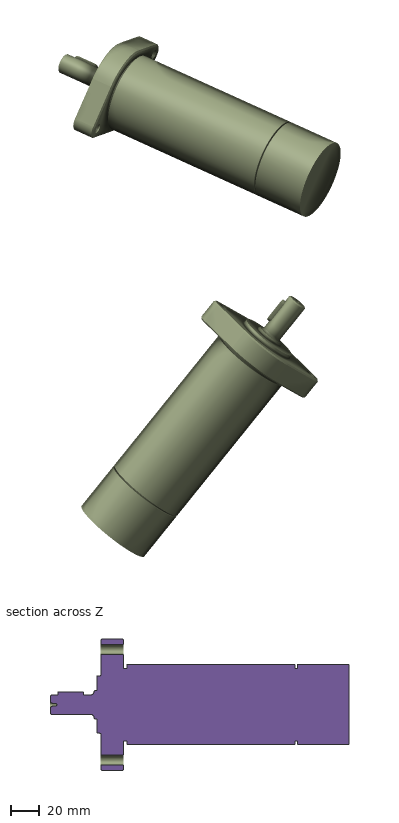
import cadquery as cq
import math


overall_length = 207.3
shaft_diameter = 14.0
shaft_chamfer = 0.8
shoulder_start = 28.2
shoulder_fillet = 1.8
collar_diameter = 20.0
collar_chamfer = 1.0
center_mouth_diameter = 3.2
center_mouth_angle = 60.0
center_drill_diameter = 1.5
center_drill_depth = 4.0
drill_point_angle = 120.0

key_start = 5.0
key_length = 18.0
key_width = 5.0
key_height = 5.0
key_top = 9.0

pilot_diameter = 40.0
pilot_root_fillet = 0.6
pilot_start = 32.0
flange_start = 34.8
flange_thickness = 16.0
flange_chamfer = 1.0
flange_height = 62.0
flange_ear_radius = 7.5
mounting_hole_spacing = 77.0
mounting_hole_diameter = 6.6

body_diameter = 56.0
neck_diameter = 51.02
neck_length = 2.0
rear_cover_length = 36.0
groove_width = 1.2

flange_end = flange_start + flange_thickness
body_start = flange_end + neck_length
rear_cover_start = overall_length - rear_cover_length
groove_start = rear_cover_start - groove_width


def cylinder(diameter, start, end):
    """Solid cylinder along the X axis between two X positions."""
    return cq.Workplane("YZ", origin=(start, 0, 0)).circle(diameter / 2).extrude(end - start)


def spin(profile):
    """Full turn of a closed half-profile about the X axis."""
    full_turn = 360
    return profile.revolve(full_turn, (0, 0, 0), (1, 0, 0))


def root_fillet_middle(start, radius, fillet):
    """Middle point of a concave quarter arc that rises from a cylinder to a face across the axis."""
    mid_angle = math.pi / 4
    return start + fillet * math.sin(mid_angle), radius + fillet * (1 - math.cos(mid_angle))


def make_shaft():
    """Shaft with a chamfered tip and a concave fillet at the face of a chamfered collar."""
    radius = shaft_diameter / 2
    collar_radius = collar_diameter / 2
    shoulder_radius = radius + shoulder_fillet
    shoulder_end = shoulder_start + shoulder_fillet
    arc_middle = root_fillet_middle(shoulder_start, radius, shoulder_fillet)
    profile = (
        cq.Workplane("XY")
        .moveTo(0, 0)
        .lineTo(0, radius - shaft_chamfer)
        .lineTo(shaft_chamfer, radius)
        .lineTo(shoulder_start, radius)
        .threePointArc(arc_middle, (shoulder_end, shoulder_radius))
        .lineTo(shoulder_end, collar_radius - collar_chamfer)
        .lineTo(shoulder_end + collar_chamfer, collar_radius)
        .lineTo(flange_start, collar_radius)
        .lineTo(flange_start, 0)
        .close()
    )
    return spin(profile)


def make_key():
    """Round-ended feather key, sunk into the shaft and standing out on the +Y side."""
    return (
        cq.Workplane("XZ", origin=(key_start + key_length / 2, key_top, 0))
        .slot2D(key_length, key_width)
        .extrude(key_height)
    )


def cone_length(start_radius, end_radius, included_angle):
    """Axial length of a cone that narrows between two radii."""
    return (start_radius - end_radius) / math.tan(math.radians(included_angle / 2))


def make_center_hole():
    """Centre-drilled hole in the shaft tip: conical mouth, narrow drill and drill point."""
    mouth_radius = center_mouth_diameter / 2
    drill_radius = center_drill_diameter / 2
    mouth_depth = cone_length(mouth_radius, drill_radius, center_mouth_angle)
    point_depth = center_drill_depth + cone_length(drill_radius, 0, drill_point_angle)
    profile = (
        cq.Workplane("XY")
        .moveTo(0, 0)
        .lineTo(0, mouth_radius)
        .lineTo(mouth_depth, drill_radius)
        .lineTo(center_drill_depth, drill_radius)
        .lineTo(point_depth, 0)
        .close()
    )
    return spin(profile)


def make_flange():
    """Diamond flange: a round centre joined by tangent lines to two round ears along Y."""
    center_radius = flange_height / 2
    ear_offset = mounting_hole_spacing / 2
    ear_tip = ear_offset + flange_ear_radius
    normal_y = (center_radius - flange_ear_radius) / ear_offset
    normal_z = math.sqrt(1 - normal_y**2)
    center_y = center_radius * normal_y
    center_z = center_radius * normal_z
    ear_y = ear_offset + flange_ear_radius * normal_y
    ear_z = flange_ear_radius * normal_z
    plate = (
        cq.Workplane("YZ", origin=(flange_start, 0, 0))
        .moveTo(-center_y, center_z)
        .threePointArc((0, center_radius), (center_y, center_z))
        .lineTo(ear_y, ear_z)
        .threePointArc((ear_tip, 0), (ear_y, -ear_z))
        .lineTo(center_y, -center_z)
        .threePointArc((0, -center_radius), (-center_y, -center_z))
        .lineTo(-ear_y, -ear_z)
        .threePointArc((-ear_tip, 0), (-ear_y, ear_z))
        .close()
        .extrude(flange_thickness)
        .faces("<X or >X")
        .chamfer(flange_chamfer)
    )
    holes = (
        cq.Workplane("YZ", origin=(flange_start, 0, 0))
        .pushPoints([(-ear_offset, 0), (ear_offset, 0)])
        .circle(mounting_hole_diameter / 2)
        .extrude(flange_thickness)
    )
    return plate.cut(holes)


def make_pilot():
    """Centring spigot that meets the flange face in a small concave fillet."""
    radius = pilot_diameter / 2
    root_start = flange_start - pilot_root_fillet
    root_radius = radius + pilot_root_fillet
    arc_middle = root_fillet_middle(root_start, radius, pilot_root_fillet)
    profile = (
        cq.Workplane("XY")
        .moveTo(pilot_start, 0)
        .lineTo(pilot_start, radius)
        .lineTo(root_start, radius)
        .threePointArc(arc_middle, (flange_start, root_radius))
        .lineTo(flange_start, 0)
        .close()
    )
    return spin(profile)


def make_body():
    """Motor tube and rear cover on a thinner core, which shows as a neck and a groove."""
    core = cylinder(neck_diameter, flange_end, overall_length)
    tube = cylinder(body_diameter, body_start, groove_start)
    rear_cover = cylinder(body_diameter, rear_cover_start, overall_length)
    return core.union(tube).union(rear_cover)


result = (
    make_shaft()
    .union(make_key())
    .union(make_pilot())
    .union(make_flange())
    .union(make_body())
    .cut(make_center_hole())
)